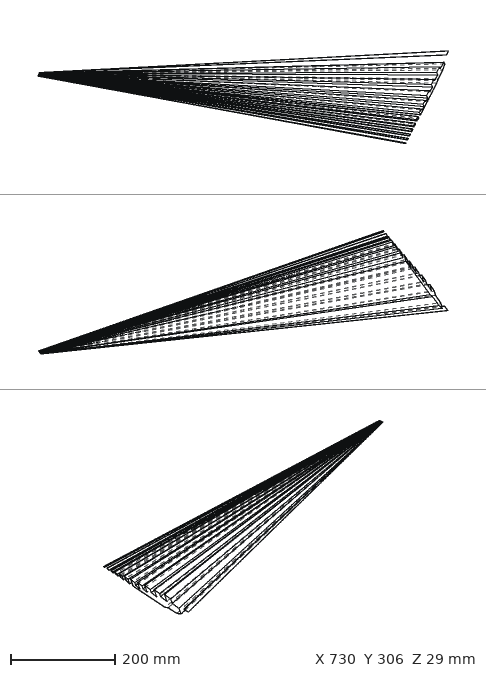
import cadquery as cq
import math

NEAR_X = 30.0
LENGTH = 730.0
FAR_X = NEAR_X + LENGTH
NEAR_SHRINK = NEAR_X / FAR_X

FLOOR_Z = -6.85
FAN_INNER_Y = 52.7
FAN_OUTER_Y = 308.05

TEETH = [
    (255.0, 236.5, 22.1),
    (221.5, 205.0, 17.7),
    (193.3, 176.7, 12.9),
    (168.5, 155.3, 8.8),
    (146.5, 134.3, 5.5),
    (126.5, 115.3, 3.0),
    (109.3, 99.0, 0.4),
    (94.0, 85.5, -1.6),
    (80.3, 73.5, -3.3),
    (68.7, 62.5, -4.9),
]
JOINED_TEETH = 5

INNER_WALL_ANGLE = 60.5
FIRST_OUTER_WALL_ANGLE = 59.6
OUTER_WALL_ANGLE_STEP = 0.47
FIRST_TOP_TILT = 3.3
TOP_TILT_STEP = 0.8
TOP_TILT_GROWTH = 0.018
VALLEY_EXTRA_TILT = 1.65
UNDERSIDE_TILT = 12.0

FIRST_TOOTH_RISE = 7.7
TOOTH_RISE = 5.2

FLANGE_TOP_Y = 279.7
FLANGE_OUTER_Y = 286.2
FLANGE_WALL_ANGLE = 56.5
COMB_UNDERSIDE = [(238.0, FLOOR_Z), (247.0, -3.4), (273.5, -2.9)]

OUTER_BAR_SECTION = [(FAN_OUTER_Y, 17.4), (295.0, 18.1), (295.5, 17.0)]
INNER_BAR_SECTION = [(55.6, FLOOR_Z), (FAN_INNER_Y, -6.2), (53.0, -6.7)]


def slope(angle):
    return math.tan(math.radians(angle))


def top_tilt(index):
    """Tilt of a tooth top; it grows towards the inside of the fan."""
    return FIRST_TOP_TILT + TOP_TILT_STEP * index + TOP_TILT_GROWTH * index**2


def outer_wall_slope(index):
    return slope(FIRST_OUTER_WALL_ANGLE + OUTER_WALL_ANGLE_STEP * index)


def top_edges(index):
    """Outer and inner edge of a tooth top."""
    outer_y, inner_y, inner_z = TEETH[index]
    outer_z = inner_z - (outer_y - inner_y) * slope(top_tilt(index))
    return (outer_y, outer_z), (inner_y, inner_z)


def outer_wall_foot(index, rise):
    """Point on a tooth's outer wall, the given rise below its top."""
    (outer_y, outer_z), _ = top_edges(index)
    return outer_y + rise / outer_wall_slope(index), outer_z - rise


def inner_wall_foot(index, start, tilt):
    """Point where a line from start, rising inwards at the given tilt, meets a tooth's inner wall."""
    _, (wall_y, wall_z) = top_edges(index)
    start_y, start_z = start
    wall_slope = slope(INNER_WALL_ANGLE)
    line_slope = slope(tilt)
    foot_y = (wall_z - start_z + wall_slope * wall_y - line_slope * start_y) / (wall_slope - line_slope)
    return foot_y, wall_z - wall_slope * (foot_y - wall_y)


def valley(index):
    """Two ends of the valley between a joined tooth and the next one inwards."""
    end = outer_wall_foot(index + 1, TOOTH_RISE)
    start = inner_wall_foot(index, end, top_tilt(index) + VALLEY_EXTRA_TILT)
    return [start, end]


def bar(section):
    """Solid between the far-end section and its copy shrunk towards the apex."""
    near_section = [(y * NEAR_SHRINK, z * NEAR_SHRINK) for y, z in section]
    near = cq.Workplane("YZ").workplane(offset=NEAR_X).polyline(near_section).close()
    return near.workplane(offset=LENGTH).polyline(section).close().loft(ruled=True)


def comb_section():
    """Flange and five joined teeth above one underside."""
    flange_end_y, flange_end_z = outer_wall_foot(0, FIRST_TOOTH_RISE)
    flange_tilt = slope(top_tilt(-1) + VALLEY_EXTRA_TILT)
    flange_z = flange_end_z - (FLANGE_TOP_Y - flange_end_y) * flange_tilt
    flange_low_z = flange_z - (FLANGE_OUTER_Y - FLANGE_TOP_Y) * slope(FLANGE_WALL_ANGLE)
    points = [(FLANGE_OUTER_Y, flange_low_z), (FLANGE_TOP_Y, flange_z), (flange_end_y, flange_end_z)]
    for index in range(JOINED_TEETH):
        points += top_edges(index)
        if index < JOINED_TEETH - 1:
            points += valley(index)
    points.append(inner_wall_foot(JOINED_TEETH - 1, COMB_UNDERSIDE[0], 0.0))
    return points + COMB_UNDERSIDE


def single_tooth_section(index):
    """Separate tooth whose underside rises from the floor level to its inner wall."""
    outer, inner = top_edges(index)
    outer_foot = outer_wall_foot(index, outer[1] - FLOOR_Z)
    return [outer_foot, outer, inner, inner_wall_foot(index, outer_foot, UNDERSIDE_TILT)]


comb = bar(comb_section())
outer_bar = bar(OUTER_BAR_SECTION)
inner_bar = bar(INNER_BAR_SECTION)
single_teeth = [bar(single_tooth_section(index)) for index in range(JOINED_TEETH, len(TEETH))]

result = cq.Compound.makeCompound(
    [comb.val(), outer_bar.val(), inner_bar.val(), *[tooth.val() for tooth in single_teeth]]
)